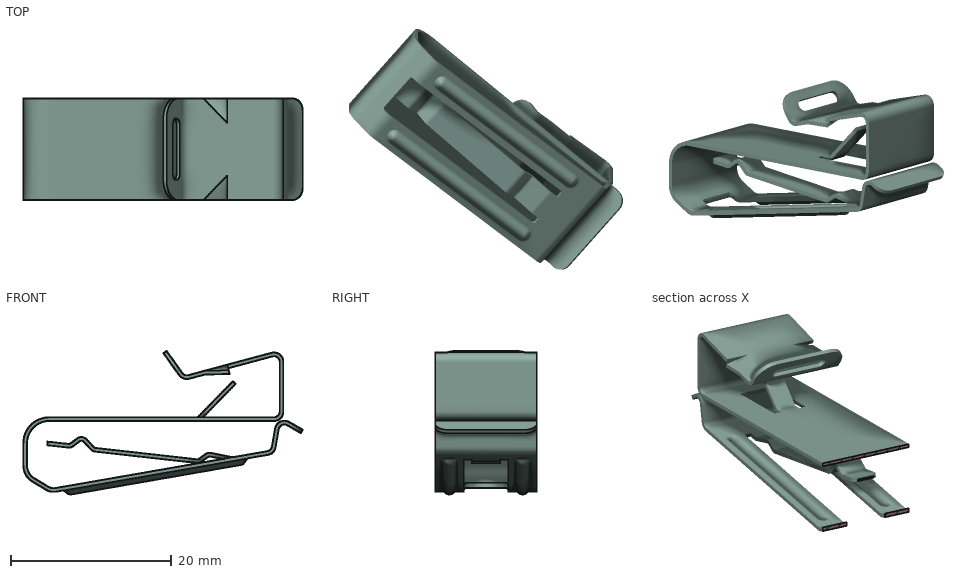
import cadquery as cq
import math

sheet = 0.5
half_sheet = sheet / 2
width = 12.7
small_bend = 0.95

overall_length = 34.93
overall_height = 17.95
tail_slope = math.radians(30)
lip_slope = math.radians(55)
wall_x = half_sheet
plate_z = 9.43
riser_x = 32.28
lip_end = (17.7, overall_height - half_sheet * math.cos(lip_slope))
lip_corner = (20.05, 14.53)
riser_top = (riser_x, 17.8)
riser_foot = (riser_x, plate_z)
wall_top = (wall_x, plate_z)
wall_foot = (wall_x, 2.45)
arm_start = (3.5, 0.5)
arm_end = (31.2, 5.3)
tail_corner = (31.93, 9.55)
tail_end = (overall_length - half_sheet * math.sin(tail_slope), 7.9)
wall_top_bend = 3.0
wall_foot_bend = 2.1
arm_start_bend = 1.6

lip_corner_radius = 2.5
tail_corner_radius = 1.5
slot_length = 7.7
slot_width = 1.5
slot_from_lip_end = 2.1

barb_start = 2.62
barb_size = 3.07
barb_drop = 0.75

relief = 0.98
window_corner_radius = 0.3
tab_bend = 0.6
tongue_window_reach = 1.4

hook_width = 2.7
hook_root_x = 21.9
hook_end = (26.37, 14.0)
hook_window_start = 20.8
hook_window_end = 29.0

tongue_width = 3.55
tongue_end = (3.0, 6.4)
tongue_valley = (5.87, 6.08)
tongue_crest = (7.35, 7.15)
tongue_knee = (8.8, 5.62)
tongue_dip = (21.9, 4.15)
tongue_hump = (23.15, 5.03)
tongue_root = 23.0
tongue_window_start = -0.95
tongue_window_end = 24.1
tongue_corner_radius = 0.7

bead_y = 4.58
bead_start = 2.45
bead_length = 21.45
bead_depth = 0.65
bead_flank = math.radians(45)
bead_top_shoulder = 0.75
bead_groove_tip = 0.17


def direction(start, end):
    """Unit vector from start to end in XZ."""
    length = math.dist(start, end)
    return ((end[0] - start[0]) / length, (end[1] - start[1]) / length)


def along(start, end, distance, lift=0.0):
    """Point at a distance from start towards end, moved sideways to the left by lift."""
    ux, uz = direction(start, end)
    return (start[0] + ux * distance - uz * lift, start[1] + uz * distance + ux * lift)


def frame(start, end):
    """Workplane lying on the mid-plane of a straight run: local x along it, local y along +Y."""
    ux, uz = direction(start, end)
    return cq.Plane(origin=(start[0], 0, start[1]), xDir=(ux, 0, uz), normal=(-uz, 0, ux))


def bent_strip(corners, radii, strip_width):
    """Strip of sheet following mid-plane corners, with one bend radius per inner corner."""
    def side(lift):
        """One face line as (tangent point, arc middle, tangent point) for each bend."""
        bends = []
        for before, corner, after, radius in zip(corners, corners[1:], corners[2:], radii):
            u = direction(before, corner)
            v = direction(corner, after)
            turn = math.atan2(u[0] * v[1] - u[1] * v[0], u[0] * v[0] + u[1] * v[1])
            setback = radius * math.tan(abs(turn) / 2)
            to_centre = math.copysign(radius, turn)
            centre = along(corner, before, setback, -to_centre)
            face_radius = to_centre - lift
            heading = math.atan2(u[1], u[0])
            bends.append([
                (centre[0] + face_radius * math.sin(a), centre[1] - face_radius * math.cos(a))
                for a in (heading, heading + turn / 2, heading + turn)
            ])
        return bends

    left = side(half_sheet)
    right = side(-half_sheet)
    outline = cq.Workplane("XZ").moveTo(*along(corners[0], corners[1], 0, half_sheet))
    for entry, middle, leave in left:
        outline = outline.lineTo(*entry).threePointArc(middle, leave)
    outline = outline.lineTo(*along(corners[-1], corners[-2], 0, -half_sheet))
    outline = outline.lineTo(*along(corners[-1], corners[-2], 0, half_sheet))
    for entry, middle, leave in reversed(right):
        outline = outline.lineTo(*leave).threePointArc(middle, entry)
    outline = outline.lineTo(*along(corners[0], corners[1], 0, -half_sheet))
    return outline.close().extrude(strip_width / 2, both=True)


def rounded_end(start, end, strip_width, radius):
    """Waste outside the two round corners of a strip that ends at start."""
    half = strip_width / 2
    waste = cq.Workplane(frame(start, end))
    for sign in (1, -1):
        arc_middle = radius * (1 - math.sqrt(0.5))
        waste = (
            waste.moveTo(0, sign * half)
            .lineTo(radius, sign * half)
            .threePointArc((arc_middle, sign * (half - arc_middle)), (0, sign * (half - radius)))
            .close()
        )
    return waste.extrude(sheet, both=True)


def tab_window(plane, start, end, tab_width, gap, reach):
    """Cutter for the window round a tab, with round corners; reach is its height each way."""
    return (
        cq.Workplane(plane).center((start + end) / 2, 0)
        .rect(end - start, tab_width + 2 * gap).extrude(reach, both=True)
        .edges(cq.selectors.ParallelDirSelector(plane.zDir)).fillet(window_corner_radius)
    )


def bead_body(tip_radius, shoulder_radius):
    """Long dimple below the local z = 0 plane, with domed ends; local x runs along it."""
    sine, cosine = math.sin(bead_flank), math.cos(bead_flank)
    half_sine, half_cosine = math.sin(bead_flank / 2), math.cos(bead_flank / 2)
    rounding = tip_radius + shoulder_radius
    flank_drop = bead_depth - rounding * (1 - cosine)
    half_width = rounding * sine + flank_drop / math.tan(bead_flank)
    tip_z = tip_radius - bead_depth
    half_profile = (
        cq.Workplane("YZ").lineTo(0, -bead_depth)
        .threePointArc(
            (tip_radius * half_sine, tip_z - tip_radius * half_cosine),
            (tip_radius * sine, tip_z - tip_radius * cosine))
        .lineTo(half_width - shoulder_radius * sine, shoulder_radius * (cosine - 1))
        .threePointArc(
            (half_width - shoulder_radius * half_sine, shoulder_radius * (half_cosine - 1)),
            (half_width, 0))
        .close().wire().val()
    )
    half_run = cq.Workplane("YZ").add(half_profile).toPending().extrude(bead_length)
    dome = cq.Workplane("YZ").add(half_profile).toPending().revolve(360, (0, 0), (0, 1))
    return half_run.union(half_run.mirror("XZ")).union(dome).union(dome.translate((bead_length, 0, 0)))


main_corners = [
    lip_end, lip_corner, riser_top, riser_foot, wall_top,
    wall_foot, arm_start, arm_end, tail_corner, tail_end,
]
main_bends = [
    small_bend, small_bend, small_bend, wall_top_bend,
    wall_foot_bend, arm_start_bend, small_bend, small_bend,
]
clip = bent_strip(main_corners, main_bends, width)
clip = clip.cut(rounded_end(lip_end, lip_corner, width, lip_corner_radius))
clip = clip.cut(rounded_end(tail_end, tail_corner, width, tail_corner_radius))

lip_slot = (
    cq.Workplane(frame(lip_end, lip_corner)).center(slot_from_lip_end, 0)
    .slot2D(slot_length, slot_width, 90).extrude(sheet, both=True)
)
clip = clip.cut(lip_slot)

jaw = frame(lip_corner, riser_top)
for sign in (1, -1):
    edge_y = sign * width / 2
    fold_outer = (barb_start, edge_y)
    fold_inner = (barb_start + barb_size, edge_y - sign * barb_size)
    free_corner = (barb_start + barb_size, edge_y)
    opening = cq.Workplane(jaw).polyline([fold_outer, fold_inner, free_corner]).close()
    clip = clip.cut(opening.extrude(sheet, both=True))
    lower_corners = [
        jaw.toWorldCoords((*fold_outer, -half_sheet)),
        jaw.toWorldCoords((*fold_inner, -half_sheet)),
        jaw.toWorldCoords((*free_corner, -half_sheet - barb_drop)),
    ]
    barb = cq.Solid.extrudeLinear(cq.Wire.makePolygon(lower_corners, close=True), [], jaw.zDir * sheet)
    clip = clip.union(cq.Workplane(barb))

plate = cq.Plane(origin=(0, 0, plate_z))
clip = clip.cut(tab_window(plate, hook_window_start, hook_window_end, hook_width, relief, sheet))
hook_corners = [(hook_window_start, plate_z), (hook_root_x, plate_z), hook_end]
clip = clip.union(bent_strip(hook_corners, [tab_bend], hook_width))

arm = frame(arm_start, arm_end)
clip = clip.cut(tab_window(
    arm, tongue_window_start, tongue_window_end, tongue_width, relief, tongue_window_reach))
tongue_corners = [
    tongue_end, tongue_valley, tongue_crest, tongue_knee, tongue_dip, tongue_hump,
    along(arm_start, arm_end, tongue_root), along(arm_start, arm_end, tongue_window_end),
]
tongue = bent_strip(tongue_corners, [tab_bend] * (len(tongue_corners) - 2), tongue_width)
tongue = tongue.cut(rounded_end(tongue_end, tongue_valley, tongue_width, tongue_corner_radius))
clip = clip.union(tongue)

bead = bead_body(bead_groove_tip + sheet, bead_top_shoulder - sheet)
groove = bead_body(bead_groove_tip, bead_top_shoulder)
for sign in (1, -1):
    under_face = cq.Location(cq.Vector(bead_start, sign * bead_y, -half_sheet))
    top_face = cq.Location(cq.Vector(bead_start, sign * bead_y, half_sheet))
    clip = clip.union(cq.Workplane(bead.val().moved(arm.location * under_face)))
    clip = clip.cut(cq.Workplane(groove.val().moved(arm.location * top_face)))

result = clip